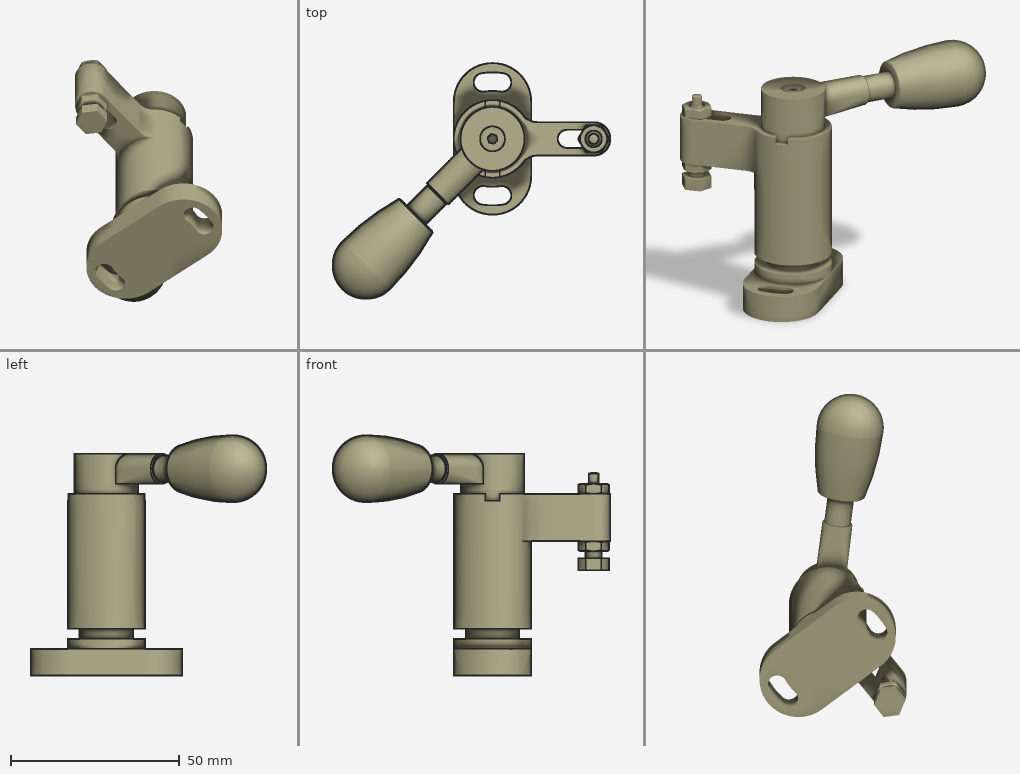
import cadquery as cq
import math


body_diameter = 23.0
plate_length = 45.0
plate_height = 8.0
flange_height = 3.0
post_radius = 8.0
gap_height = 3.0
mount_slot_radius = 17.0
mount_slot_width = 5.4
mount_slot_half_angle = 9.6

sleeve_height = 40.0
notch_width = 4.2
notch_depth = 2.0
arm_reach = 34.95
arm_width = 10.0
arm_height = 14
arm_fillet = 5.0
arm_slot_width = 5.3
arm_slot_start = 22.0

hub_radius = 9.5
hub_exposed_height = 11.95
recess_radius = 3.7
recess_depth = 0.4
socket_corners = 3.05
socket_depth = 3.0

lever_angle = 225
rod_diameter = 9.0
rod_end = 23.0
rod_square_end = 9.2
rod_corner = 0.1
undercut_radius = 3.7
neck_start = 23.4
neck_radius = 3.95
knob_start = 32.0
knob_centre = 53.0
knob_radius = 10.0
knob_start_radius = 7.0
knob_edge_chamfer = 0.25

nut_flats = 8.0
nut_height = 3.0
nut_chamfer_angle = 30
bolt_radius = 2.5
bolt_head_height = 3.6
bolt_head_drop = 19.05
bolt_tip_radius = 1.5
bolt_tip_base = 0.25
bolt_tip_height = 6.0
bolt_dome_height = 0.25

body_radius = body_diameter / 2
rod_radius = rod_diameter / 2
flange_top = plate_height + flange_height
sleeve_bottom = flange_top + gap_height
sleeve_top = sleeve_bottom + sleeve_height
hub_bottom = sleeve_top - notch_depth
hub_top = sleeve_top + hub_exposed_height
arm_bottom = sleeve_top - arm_height
arm_end_radius = arm_width / 2
bolt_x = arm_reach - arm_end_radius
lever_height = hub_top - rod_radius
hex_corners = nut_flats / math.cos(math.radians(30))


def cylinder(radius, bottom, top):
    """A cylinder on the post axis."""
    return cq.Workplane("XY").workplane(offset=bottom).circle(radius).extrude(top - bottom)


def polar(radius, degrees):
    return radius * math.cos(math.radians(degrees)), radius * math.sin(math.radians(degrees))


def curved_slot(middle_angle):
    """Slot that follows a circle about the post axis."""
    inner = mount_slot_radius - mount_slot_width / 2
    outer = mount_slot_radius + mount_slot_width / 2
    start = middle_angle - mount_slot_half_angle
    end = middle_angle + mount_slot_half_angle
    end_bulge = math.degrees(mount_slot_width / 2 / mount_slot_radius)
    return (
        cq.Workplane("XY")
        .moveTo(*polar(outer, start))
        .threePointArc(polar(outer, middle_angle), polar(outer, end))
        .threePointArc(polar(mount_slot_radius, end + end_bulge), polar(inner, end))
        .threePointArc(polar(inner, middle_angle), polar(inner, start))
        .threePointArc(polar(mount_slot_radius, start - end_bulge), polar(outer, start))
        .close()
        .extrude(plate_height)
    )


def make_base():
    plate = cq.Workplane("XY").slot2D(plate_length, body_diameter, 90).extrude(plate_height)
    for middle_angle in (90, 270):
        plate = plate.cut(curved_slot(middle_angle))
    flange = cylinder(body_radius, plate_height, flange_top)
    post = cylinder(post_radius, flange_top, hub_bottom)
    return plate.union(flange).union(post)


def arm_outline():
    """Arm blended into the sleeve by an arc on each side."""
    blend_y = arm_end_radius + arm_fillet
    blend_x = math.sqrt((body_radius + arm_fillet) ** 2 - blend_y ** 2)
    blend_angle = math.degrees(math.atan2(blend_y, blend_x))
    touch_x, touch_y = polar(body_radius, blend_angle)
    middle_angle = math.radians((blend_angle + 90) / 2)
    middle_x = blend_x - arm_fillet * math.cos(middle_angle)
    middle_y = blend_y - arm_fillet * math.sin(middle_angle)
    return (
        cq.Workplane("XY")
        .workplane(offset=arm_bottom)
        .moveTo(0, 0)
        .lineTo(touch_x, -touch_y)
        .threePointArc((middle_x, -middle_y), (blend_x, -arm_end_radius))
        .lineTo(bolt_x, -arm_end_radius)
        .threePointArc((arm_reach, 0), (bolt_x, arm_end_radius))
        .lineTo(blend_x, arm_end_radius)
        .threePointArc((middle_x, middle_y), (touch_x, touch_y))
        .close()
    )


def make_sleeve():
    sleeve = cylinder(body_radius, sleeve_bottom, sleeve_top).union(arm_outline().extrude(arm_height))
    slot_spacing = bolt_x - arm_slot_start
    arm_slot = (
        cq.Workplane("XY")
        .workplane(offset=arm_bottom)
        .center(arm_slot_start + slot_spacing / 2, 0)
        .slot2D(slot_spacing + arm_slot_width, arm_slot_width)
        .extrude(arm_height)
    )
    notches = (
        cq.Workplane("XY")
        .workplane(offset=hub_bottom)
        .rect(notch_width, body_diameter)
        .extrude(notch_depth)
    )
    post_bore = cylinder(post_radius, sleeve_bottom, hub_bottom)
    hub_seat = cylinder(hub_radius, hub_bottom, sleeve_top)
    return sleeve.cut(arm_slot).cut(notches).cut(post_bore).cut(hub_seat)


def rod_section(x, corner):
    """Rod section with a round top half and bottom corners of the given radius."""
    flat = rod_radius - corner
    diagonal = flat + corner * math.sqrt(0.5)
    return (
        cq.Workplane("YZ", origin=(x, 0, lever_height))
        .moveTo(-rod_radius, 0)
        .threePointArc((0, rod_radius), (rod_radius, 0))
        .lineTo(rod_radius, -flat)
        .threePointArc((diagonal, -diagonal), (flat, -rod_radius))
        .lineTo(-flat, -rod_radius)
        .threePointArc((-diagonal, -diagonal), (-rod_radius, -flat))
        .close()
    )


def make_rod():
    """Rod that is square below at the hub and changes to round at its end."""
    square_part = rod_section(0, rod_corner).extrude(rod_square_end)
    start_wire = rod_section(rod_square_end, rod_corner).val()
    end_wire = rod_section(rod_end, rod_radius - rod_corner).val()
    blend = cq.Workplane(cq.Solid.makeLoft([start_wire, end_wire], True))
    return square_part.union(blend)


def make_neck_and_knob():
    """Undercut neck and barrel-shaped knob with a hemispherical end, revolved about the lever axis."""
    barrel_length = knob_centre - knob_start
    swell = knob_radius - knob_start_radius
    barrel_radius = (barrel_length ** 2 + swell ** 2) / (2 * swell)

    def barrel_at(x):
        return knob_radius - barrel_radius + math.sqrt(barrel_radius ** 2 - (knob_centre - x) ** 2)

    arc_start = knob_start + knob_edge_chamfer
    arc_middle = (arc_start + knob_centre) / 2
    hemisphere_middle = knob_radius * math.sqrt(0.5)
    return (
        cq.Workplane("XY", origin=(0, 0, lever_height))
        .lineTo(0, undercut_radius)
        .lineTo(neck_start, undercut_radius)
        .lineTo(neck_start, neck_radius)
        .lineTo(knob_start, neck_radius)
        .lineTo(knob_start, knob_start_radius - knob_edge_chamfer)
        .lineTo(arc_start, barrel_at(arc_start))
        .threePointArc((arc_middle, barrel_at(arc_middle)), (knob_centre, knob_radius))
        .threePointArc(
            (knob_centre + hemisphere_middle, hemisphere_middle),
            (knob_centre + knob_radius, 0),
        )
        .close()
        .revolve(360, (0, 0), (1, 0))
    )


def make_lever():
    hub = cylinder(hub_radius, hub_bottom, hub_top)
    recess = cylinder(recess_radius, hub_top - recess_depth, hub_top)
    socket = (
        cq.Workplane("XY")
        .workplane(offset=hub_top - recess_depth)
        .polygon(6, socket_corners)
        .extrude(-socket_depth)
    )
    lever = hub.union(make_rod()).union(make_neck_and_knob()).cut(recess).cut(socket)
    return lever.rotate((0, 0, 0), (0, 0, 1), lever_angle)


def hexagon(bottom, height):
    """Hexagonal prism on the bolt axis."""
    return (
        cq.Workplane("XY", origin=(bolt_x, 0, bottom)).polygon(6, hex_corners).extrude(height)
    )


def make_bolt():
    head_top = sleeve_top - bolt_head_drop
    head = hexagon(head_top - bolt_head_height, bolt_head_height)
    tip_base = sleeve_top + nut_height + bolt_tip_base
    tip_top = sleeve_top + bolt_tip_height
    shank_top = tip_base - (bolt_radius - bolt_tip_radius)
    dome_radius = (bolt_tip_radius ** 2 + bolt_dome_height ** 2) / (2 * bolt_dome_height)
    dome_middle_x = bolt_tip_radius / 2
    dome_middle_drop = dome_radius - math.sqrt(dome_radius ** 2 - dome_middle_x ** 2)
    dome_top = tip_top + bolt_dome_height
    shank = (
        cq.Workplane("XZ", origin=(bolt_x, 0, 0))
        .moveTo(0, head_top)
        .lineTo(bolt_radius, head_top)
        .lineTo(bolt_radius, shank_top)
        .lineTo(bolt_tip_radius, tip_base)
        .lineTo(bolt_tip_radius, tip_top)
        .threePointArc((dome_middle_x, dome_top - dome_middle_drop), (0, dome_top))
        .close()
        .revolve(360, (0, 0), (0, 1))
    )
    return head.union(shank)


def make_nut(bottom):
    """Hexagonal nut with both ends turned to a chamfer."""
    end_radius = nut_flats / 2
    corner_radius = hex_corners / 2
    chamfer_height = (corner_radius - end_radius) * math.tan(math.radians(nut_chamfer_angle))
    turned_shape = (
        cq.Workplane("XZ", origin=(bolt_x, 0, bottom))
        .lineTo(end_radius, 0)
        .lineTo(corner_radius, chamfer_height)
        .lineTo(corner_radius, nut_height - chamfer_height)
        .lineTo(end_radius, nut_height)
        .lineTo(0, nut_height)
        .close()
        .revolve(360, (0, 0), (0, 1))
    )
    bore = (
        cq.Workplane("XY", origin=(bolt_x, 0, bottom)).circle(bolt_radius).extrude(nut_height)
    )
    return hexagon(bottom, nut_height).intersect(turned_shape).cut(bore)


base = make_base()
sleeve = make_sleeve()
lever = make_lever()
bolt = make_bolt()
nuts = [make_nut(bottom) for bottom in (arm_bottom - nut_height, sleeve_top)]

result = cq.Compound.makeCompound(
    [base.val(), sleeve.val(), lever.val(), bolt.val(), *[nut.val() for nut in nuts]]
)